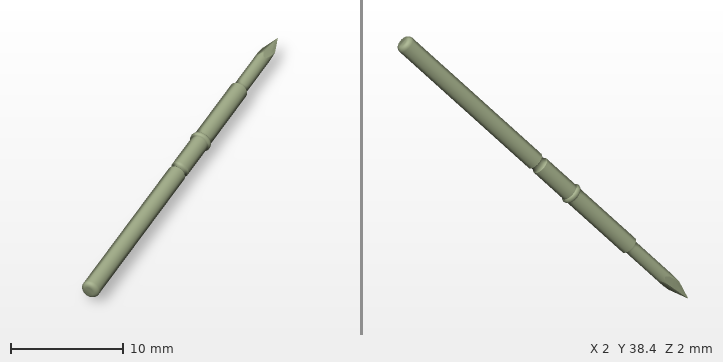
import cadquery as cq

total_length = 38.4
rear_end = -total_length / 2
tip_end = total_length / 2

barrel_radius = 0.85
barrel_front = tip_end - 8.0
rear_round = 0.42

ring_radius = 1.0
ring_length = 0.55
ring_center = tip_end - 15.75

groove_radius = 0.7
groove_length = 0.7
groove_center = tip_end - 20.28

plunger_radius = 0.65
side_ridge_length = 1.92
top_ridge_length = 2.9


def turned_barrel():
    """Revolve the barrel with its ring, groove and rounded rear end about Y."""
    profile = (
        cq.Workplane("XY")
        .moveTo(0, rear_end)
        .lineTo(barrel_radius - rear_round, rear_end)
        .radiusArc((barrel_radius, rear_end + rear_round), -rear_round)
        .lineTo(barrel_radius, groove_center - groove_length / 2)
        .threePointArc(
            (groove_radius, groove_center),
            (barrel_radius, groove_center + groove_length / 2),
        )
        .lineTo(barrel_radius, ring_center - ring_length / 2)
        .threePointArc(
            (ring_radius, ring_center),
            (barrel_radius, ring_center + ring_length / 2),
        )
        .lineTo(barrel_radius, barrel_front)
        .lineTo(0, barrel_front)
        .close()
    )
    return profile.revolve(360, (0, 0, 0), (0, 1, 0))


def point_pyramid(length):
    """Rhombic pyramid with its apex at the tip, its ridges in the XY and YZ planes."""
    half_width = plunger_radius * length / side_ridge_length
    half_height = plunger_radius * length / top_ridge_length
    base_y = tip_end - length
    apex = cq.Vector(0, tip_end, 0)
    corners = [
        cq.Vector(half_width, base_y, 0),
        cq.Vector(0, base_y, half_height),
        cq.Vector(-half_width, base_y, 0),
        cq.Vector(0, base_y, -half_height),
    ]
    outlines = [corners]
    for corner, next_corner in zip(corners, corners[1:] + corners[:1]):
        outlines.append([corner, next_corner, apex])
    faces = [cq.Face.makeFromWires(cq.Wire.makePolygon(outline, close=True)) for outline in outlines]
    return cq.Workplane(cq.Solid.makeSolid(cq.Shell.makeShell(faces)))


def sharpened_plunger():
    """Round rod ahead of the barrel, trimmed to a four-sided point."""
    rod_length = tip_end - barrel_front
    rod = cq.Workplane("XZ", origin=(0, tip_end, 0)).circle(plunger_radius).extrude(rod_length)
    return rod.intersect(point_pyramid(rod_length))


result = turned_barrel().union(sharpened_plunger())